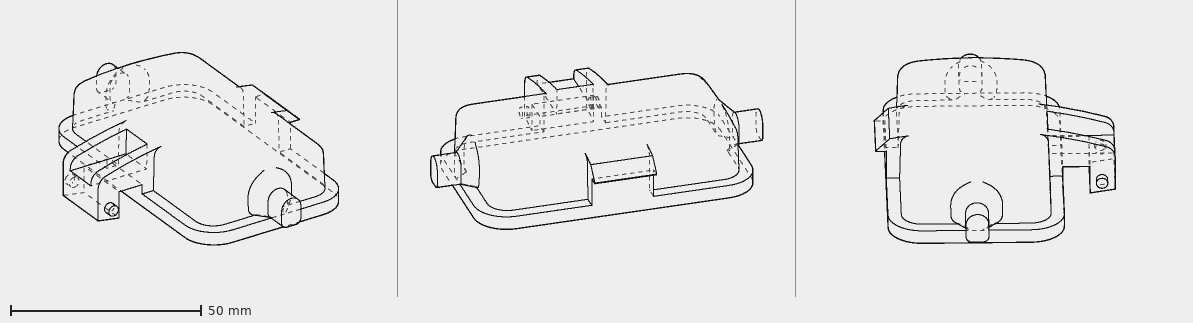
import cadquery as cq
import math

FLANGE_LENGTH = 76.4
FLANGE_WIDTH = 46.4
FLANGE_HEIGHT = 3.75
FLANGE_CORNER_RADIUS = 9.0

LEDGE_WIDTH = 3.5
BODY_LENGTH = 69.0
BODY_WIDTH = FLANGE_WIDTH - 2 * LEDGE_WIDTH
BODY_CORNER_RADIUS = FLANGE_CORNER_RADIUS - LEDGE_WIDTH
BODY_DRAFT = 1.5
CROWN_HEIGHT = 17.5
CROWN_RADIUS = 120.0
CROWN_EDGE_RADIUS = 2.5

OVERALL_LENGTH = 89.5
TRUNNION_RADIUS = 3.0
TRUNNION_AXIS_HEIGHT = 8.95
TRUNNION_CORNER_RADIUS = 1.6
FLARE_DEPTH = 4.7
FLARE_CORNER_RADIUS = 2.6

STRIP_WIDTH = 17.0
NOSE_Y = 26.0
NOSE_BOTTOM_Z = 11.6
NOSE_TIP_Z = 11.8
NOSE_SLOPE_RUN = 3.7
HOOK_Y = -37.0
HOOK_THICKNESS = 6.6
HOOK_ROUND_RADIUS = 3.4
HOOK_LOWEST_Z = -1.36
HOOK_BOTTOM_SLOPE = 9.0
NOTCH_TOP_Z = 6.5

POCKET_WIDTH = 10.0
POCKET_FLOOR_Z = 8.6

PIN_RADIUS = 1.5
PIN_LENGTH = 21.8
PIN_DOME_HEIGHT = 0.35
PIN_Y = -33.5
PIN_Z = 2.6


def crown_z(y):
    """Height of the crowned top surface at a given Y."""
    return CROWN_HEIGHT - CROWN_RADIUS + math.sqrt(CROWN_RADIUS**2 - y**2)


def rounded_block(length, width, height, corner_radius, draft=0):
    """Block standing on Z = 0 with drafted walls and four equally rounded corners."""
    block = cq.Workplane("XY").rect(length, width).extrude(height, taper=draft)
    return block.edges("not(|X or |Y)").fillet(corner_radius)


def make_flange():
    return rounded_block(FLANGE_LENGTH, FLANGE_WIDTH, FLANGE_HEIGHT, FLANGE_CORNER_RADIUS)


def make_drafted_block():
    """Cover walls before the crown is cut, taller than the finished cover."""
    block = rounded_block(BODY_LENGTH, BODY_WIDTH, CROWN_HEIGHT, BODY_CORNER_RADIUS, BODY_DRAFT)
    return block.translate((0, 0, FLANGE_HEIGHT))


def make_crown():
    """Large cylinder along X whose top is the crowned surface of cover and strip."""
    return (
        cq.Workplane("YZ")
        .center(0, CROWN_HEIGHT - CROWN_RADIUS)
        .circle(CROWN_RADIUS)
        .extrude(OVERALL_LENGTH / 2, both=True)
    )


def make_cover(drafted_block, crown):
    cover = drafted_block.intersect(crown)
    return cover.faces(">Z").edges().fillet(CROWN_EDGE_RADIUS)


def trunnion_section(x, half_width, corner_radius):
    """Arched section at X: round top, straight sides, rounded corners on the flange plane."""
    bottom = FLANGE_HEIGHT
    corner_mid = corner_radius * (1 - math.sqrt(0.5))
    corner_y = half_width - corner_radius
    corner_z = bottom + corner_radius
    return (
        cq.Workplane("YZ", origin=(x, 0, 0))
        .moveTo(half_width, TRUNNION_AXIS_HEIGHT)
        .threePointArc((0, TRUNNION_AXIS_HEIGHT + half_width), (-half_width, TRUNNION_AXIS_HEIGHT))
        .lineTo(-half_width, corner_z)
        .threePointArc((corner_mid - half_width, bottom + corner_mid), (-corner_y, bottom))
        .lineTo(corner_y, bottom)
        .threePointArc((half_width - corner_mid, bottom + corner_mid), (half_width, corner_z))
        .close()
    )


def make_trunnion():
    """Trunnion on the +X end."""
    flare_x = FLANGE_LENGTH / 2
    inner_x = flare_x - FLARE_DEPTH
    bar_section = trunnion_section(flare_x, TRUNNION_RADIUS, TRUNNION_CORNER_RADIUS)
    root_section = trunnion_section(inner_x, TRUNNION_RADIUS + FLARE_DEPTH, FLARE_CORNER_RADIUS)
    flare_wires = [root_section.val(), bar_section.val()]
    flare = cq.Workplane(cq.Solid.makeLoft(flare_wires, True))
    bar = bar_section.extrude(OVERALL_LENGTH / 2 - flare_x)
    return bar.union(flare)


def make_strip(crown):
    edge_y = FLANGE_WIDTH / 2
    slope_top_y = NOSE_Y - NOSE_SLOPE_RUN
    hook_inner_y = HOOK_Y + HOOK_THICKNESS
    hook_outer_bottom = HOOK_LOWEST_Z + HOOK_THICKNESS * math.tan(math.radians(HOOK_BOTTOM_SLOPE))
    strip = (
        cq.Workplane("YZ")
        .moveTo(edge_y, 0)
        .lineTo(edge_y, NOSE_BOTTOM_Z)
        .lineTo(NOSE_Y, NOSE_BOTTOM_Z)
        .lineTo(NOSE_Y, NOSE_TIP_Z)
        .lineTo(slope_top_y, crown_z(slope_top_y))
        .lineTo(slope_top_y, CROWN_HEIGHT)
        .lineTo(HOOK_Y, CROWN_HEIGHT)
        .lineTo(HOOK_Y, hook_outer_bottom)
        .lineTo(hook_inner_y, HOOK_LOWEST_Z)
        .lineTo(hook_inner_y, NOTCH_TOP_Z)
        .lineTo(-edge_y, NOTCH_TOP_Z)
        .lineTo(-edge_y, 0)
        .close()
        .extrude(STRIP_WIDTH / 2, both=True)
        .intersect(crown)
    )
    hook_corner = cq.selectors.NearestToPointSelector((0, HOOK_Y, crown_z(HOOK_Y)))
    return strip.edges("|X").edges(hook_corner).fillet(HOOK_ROUND_RADIUS)


def make_pocket(drafted_block):
    """Pocket volume in front of the cover, its back wall flush with the drafted cover wall."""
    pocket = cq.Workplane("XY").box(
        POCKET_WIDTH, -HOOK_Y, CROWN_HEIGHT - POCKET_FLOOR_Z, centered=(True, False, False)
    )
    return pocket.translate((0, HOOK_Y, POCKET_FLOOR_Z)).cut(drafted_block)


def make_pin():
    """Hinge pin along X with a shallow dome on each end."""
    half_length = PIN_LENGTH / 2
    shoulder = half_length - PIN_DOME_HEIGHT
    dome_radius = (PIN_RADIUS**2 + PIN_DOME_HEIGHT**2) / (2 * PIN_DOME_HEIGHT)
    mid_r = PIN_RADIUS / 2
    mid_x = half_length - dome_radius + math.sqrt(dome_radius**2 - mid_r**2)
    pin = (
        cq.Workplane("XY")
        .moveTo(-half_length, 0)
        .threePointArc((-mid_x, mid_r), (-shoulder, PIN_RADIUS))
        .lineTo(shoulder, PIN_RADIUS)
        .threePointArc((mid_x, mid_r), (half_length, 0))
        .close()
        .revolve(360, (0, 0, 0), (1, 0, 0))
    )
    return pin.translate((0, PIN_Y, PIN_Z))


drafted_block = make_drafted_block()
crown = make_crown()
trunnion = make_trunnion()

result = make_flange().union(make_cover(drafted_block, crown))
result = result.union(trunnion).union(trunnion.mirror("YZ"))
result = result.union(make_strip(crown)).cut(make_pocket(drafted_block))
result = result.union(make_pin())